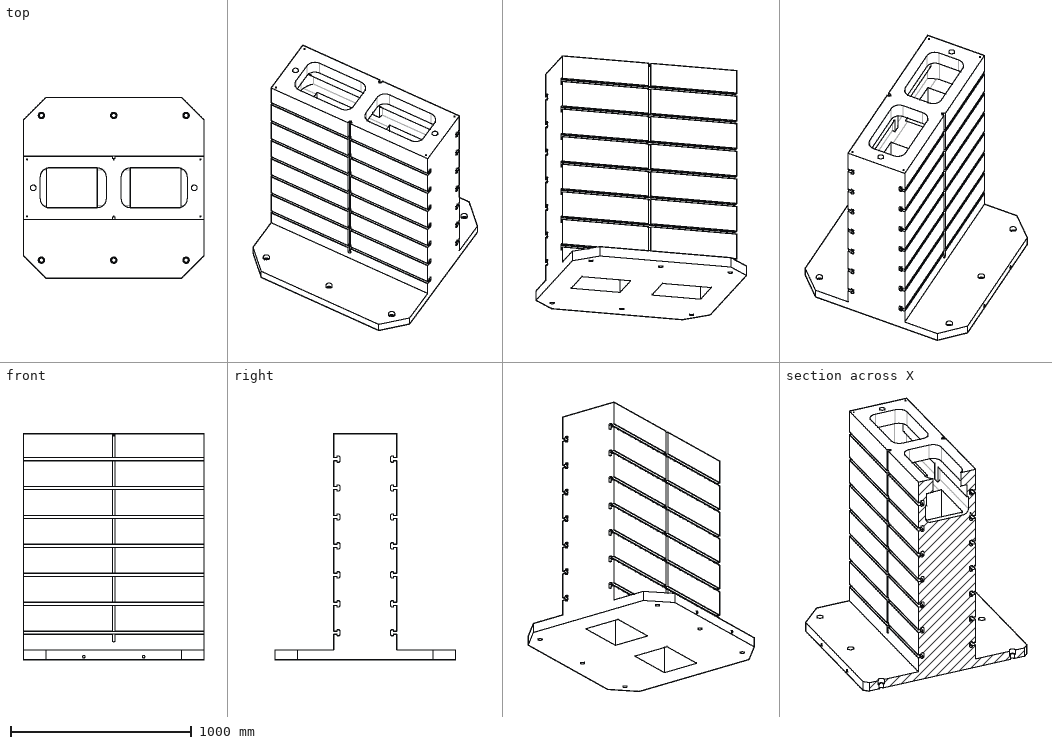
import cadquery as cq
import math

base_side = 1000.0
base_thickness = 55.0
base_corner_chamfer = 125.0

total_height = 1250.0
column_depth = 350.0

slot_count = 7
slot_pitch = 160.0
slot_first_height = 150.0
slot_neck_width = 16.0
slot_mouth_chamfer = 1.0
slot_total_depth = 35.0
slot_head_width = 32.0
slot_head_depth = 15.0
slot_head_chamfer = 5.0

groove_width = 16.0
groove_depth = 12.0
groove_bottom_height = 100.0

cell_inner_x = 41.0
cell_outer_x = 406.0
cell_mouth_width = 220.0
cell_mouth_radius = 50.0
cell_mouth_depth = 88.0

chamber_length = 910.0
chamber_width = 244.0
chamber_floor_height = 980.0
chamber_corner_radius = 50.0

recess_inner_x = 19.0
recess_width = 260.0
recess_top_height = 1088.0
recess_inner_radius = 15.0
recess_floor_fillet = 32.0

shaft_inner_x = 91.0
shaft_outer_x = 371.0

base_hole_offset = 400.0
base_hole_diameter = 24.0
base_counterbore_diameter = 35.0
base_counterbore_depth = 28.0
lifting_hole_x = 445.0
lifting_hole_diameter = 31.0
lifting_hole_depth = 50.0
drill_point_angle = 118.0
side_hole_x = 165.0
side_hole_height = 18.0
side_hole_diameter = 14.0
side_hole_depth = 25.0
pin_hole_diameter = 5.0
pin_hole_depth = 12.0
pin_hole_x = 479.0
pin_hole_y = 158.0

half_depth = column_depth / 2
chamber_top_height = total_height - cell_mouth_depth


def box_between(x_range, y_range, z_range):
    """Axis-aligned box from its lower and upper limits."""
    sizes = [high - low for low, high in (x_range, y_range, z_range)]
    corner = (x_range[0], y_range[0], z_range[0])
    return cq.Workplane("XY").box(*sizes, centered=False).translate(corner)


def centred_width_box(x_range, width, z_range):
    """Box between X and Z limits, centred on Y."""
    return box_between(x_range, (-width / 2, width / 2), z_range)


def both_sides(cutter, plane):
    """A cutter together with its mirror image."""
    return cutter.union(cutter.mirror(plane))


def drilled_hole(diameter, depth):
    """Blind hole going down from the origin, ending in a drill point."""
    radius = diameter / 2
    point_depth = radius / math.tan(math.radians(drill_point_angle / 2))
    profile = [(0, 0), (radius, 0), (radius, -depth), (0, -depth - point_depth)]
    return cq.Workplane("XZ").polyline(profile).close().revolve(360, (0, 0, 0), (0, 1, 0))


def make_body():
    base = cq.Workplane("XY").box(base_side, base_side, base_thickness, centered=(True, True, False))
    base = base.edges("|Z").chamfer(base_corner_chamfer)
    column = cq.Workplane("XY").box(base_side, column_depth, total_height, centered=(True, True, False))
    return base.union(column)


def slot_half_outline():
    """Y, Z points of the upper half of a T-slot, from the column face inwards."""
    face = half_depth
    head_bottom = face - slot_total_depth
    head_top = head_bottom + slot_head_depth
    neck = slot_neck_width / 2
    head = slot_head_width / 2
    return [
        (face, neck + slot_mouth_chamfer),
        (face - slot_mouth_chamfer, neck),
        (head_top, neck),
        (head_top, head),
        (head_bottom + slot_head_chamfer, head),
        (head_bottom, head - slot_head_chamfer),
    ]


def make_t_slots():
    upper = slot_half_outline()
    lower = [(y, -z) for y, z in reversed(upper)]
    slot = cq.Workplane("YZ").polyline(upper + lower).close().extrude(base_side / 2, both=True)
    slots = cq.Workplane("XY")
    for index in range(slot_count):
        slots = slots.add(slot.translate((0, 0, slot_first_height + index * slot_pitch)))
    return both_sides(slots.combine(), "XZ")


def make_grooves():
    radius = groove_width / 2
    end_centre_height = groove_bottom_height + radius
    y_range = (half_depth - groove_depth, half_depth)
    straight = box_between((-radius, radius), y_range, (end_centre_height, total_height))
    rounded_end = (
        cq.Workplane("XZ", origin=(0, half_depth, end_centre_height)).circle(radius).extrude(groove_depth)
    )
    return both_sides(straight.union(rounded_end), "XZ")


def make_hollow():
    mouth_z = (chamber_top_height, total_height)
    mouth = centred_width_box((cell_inner_x, cell_outer_x), cell_mouth_width, mouth_z)
    mouth = mouth.edges("|Z").fillet(cell_mouth_radius)

    chamber_end = chamber_length / 2
    chamber_x = (-chamber_end, chamber_end)
    chamber_z = (chamber_floor_height, chamber_top_height)
    round_ended = centred_width_box(chamber_x, recess_width, chamber_z)
    round_ended = round_ended.edges("|Z").fillet(chamber_corner_radius)
    trough = centred_width_box(chamber_x, recess_width, chamber_z)
    trough = trough.faces("<Z").edges("|X").fillet(recess_floor_fillet)
    envelope = round_ended.intersect(trough)

    chamber = envelope.intersect(centred_width_box(chamber_x, chamber_width, chamber_z))
    recess = centred_width_box(
        (recess_inner_x, chamber_end), recess_width, (chamber_floor_height, recess_top_height)
    )
    recess = recess.edges("|Z and <X").fillet(recess_inner_radius).intersect(envelope)

    shaft = centred_width_box((shaft_inner_x, shaft_outer_x), cell_mouth_width, (0, chamber_top_height))
    cells = both_sides(mouth.union(recess).union(shaft), "YZ")
    return cells.union(chamber)


def make_base_holes():
    columns = (-base_hole_offset, 0, base_hole_offset)
    rows = (-base_hole_offset, base_hole_offset)
    points = [(x, y) for x in columns for y in rows]
    through = cq.Workplane("XY").pushPoints(points).circle(base_hole_diameter / 2).extrude(base_thickness)
    counterbore = (
        cq.Workplane("XY", origin=(0, 0, base_thickness))
        .pushPoints(points)
        .circle(base_counterbore_diameter / 2)
        .extrude(-base_counterbore_depth)
    )
    return through.union(counterbore)


def make_lifting_holes():
    hole = drilled_hole(lifting_hole_diameter, lifting_hole_depth)
    return both_sides(hole.translate((lifting_hole_x, 0, total_height)), "YZ")


def make_side_holes():
    hole = drilled_hole(side_hole_diameter, side_hole_depth).rotate((0, 0, 0), (1, 0, 0), 90)
    return both_sides(hole.translate((side_hole_x, -base_side / 2, side_hole_height)), "YZ")


def make_pin_holes():
    points = [(x, y) for x in (-pin_hole_x, 0, pin_hole_x) for y in (-pin_hole_y, pin_hole_y)]
    top = cq.Workplane("XY", origin=(0, 0, total_height))
    return top.pushPoints(points).circle(pin_hole_diameter / 2).extrude(-pin_hole_depth)


result = make_body()
for cutter in (
    make_t_slots(),
    make_grooves(),
    make_hollow(),
    make_base_holes(),
    make_lifting_holes(),
    make_side_holes(),
    make_pin_holes(),
):
    result = result.cut(cutter)